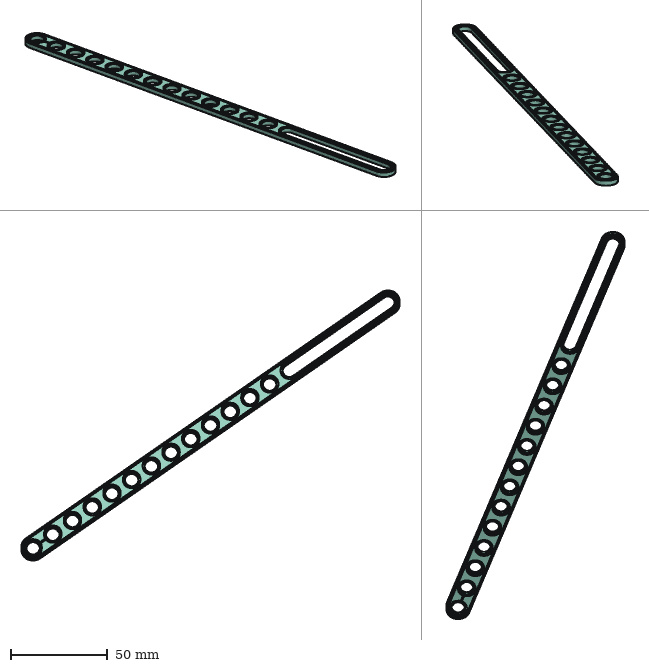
import cadquery as cq

LENGTH = 237.5
PITCH_COUNT = 19
PITCH = LENGTH / PITCH_COUNT
WIDTH = PITCH
THICKNESS = 3.0
TOP = THICKNESS / 2

HOLE_COUNT = 13
OPENING_WIDTH = 7.0
FIRST_CENTRE = (PITCH - LENGTH) / 2
LAST_CENTRE = -FIRST_CENTRE
SLOT_START = FIRST_CENTRE + HOLE_COUNT * PITCH

BORDER_WIDTH = 1.07
COLLAR_WIDTH = 9.3
RECESS_DEPTH = 0.2
RIB_WIDTH = 0.7

BORDER_CHAMFER = 0.28
OPENING_CHAMFER = 0.35
CHAMFER_ANGLE = 45

HOLE_CENTRES = [FIRST_CENTRE + index * PITCH for index in range(HOLE_COUNT)]
OPENINGS = [(centre, centre) for centre in HOLE_CENTRES]
OPENINGS.append((SLOT_START, LAST_CENTRE))


def rounded_bar(start, end, width, base, height, taper=0):
    """Round-ended bar between two end centres on the X axis, or a disc where they meet.

    It rises from Z = base, or hangs below it when the height is negative.
    """
    plane = cq.Workplane("XY", origin=((start + end) / 2, 0, base))
    if end > start:
        outline = plane.slot2D(end - start + width, width)
    else:
        outline = plane.circle(width / 2)
    return outline.extrude(height, taper=taper)


def strip():
    """Solid bar with its top and bottom outer edges chamfered."""
    bar = rounded_bar(FIRST_CENTRE, LAST_CENTRE, WIDTH, -TOP, THICKNESS)
    return bar.faces("<Z or >Z").edges().chamfer(BORDER_CHAMFER)


def top_recess():
    """Pocket that leaves the border, the collars and the rib between the first two holes standing."""
    inner_width = WIDTH - 2 * BORDER_WIDTH
    pocket = rounded_bar(FIRST_CENTRE, LAST_CENTRE, inner_width, TOP, -RECESS_DEPTH)
    for start, end in OPENINGS:
        pocket = pocket.cut(rounded_bar(start, end, COLLAR_WIDTH, TOP, -RECESS_DEPTH))
    rib_middle = FIRST_CENTRE + PITCH / 2
    rib = cq.Workplane("XY", origin=(rib_middle, 0, 0)).box(PITCH, RIB_WIDTH, THICKNESS)
    return pocket.cut(rib)


def through_opening(start, end):
    """Cutter for one opening, flared at both faces to chamfer its edges."""
    mouth_width = OPENING_WIDTH + 2 * OPENING_CHAMFER
    cutter = rounded_bar(start, end, OPENING_WIDTH, -TOP, THICKNESS)
    flare = rounded_bar(start, end, mouth_width, TOP, -OPENING_CHAMFER, CHAMFER_ANGLE)
    return cutter.union(flare).union(flare.mirror("XY"))


recess = top_recess()
result = strip().cut(recess).cut(recess.mirror("XY"))
for first, last in OPENINGS:
    result = result.cut(through_opening(first, last))